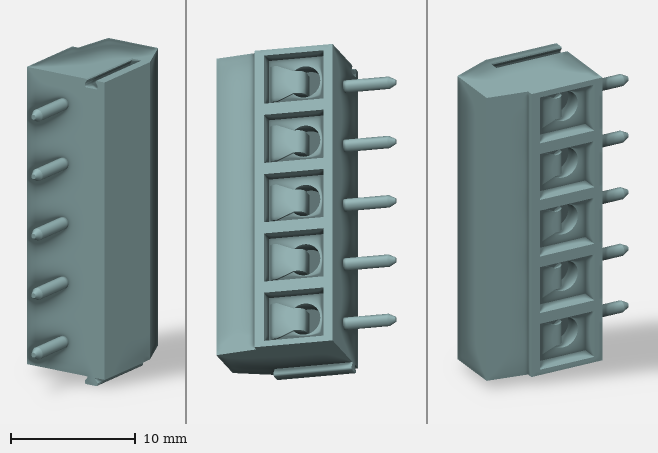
import cadquery as cq
import math


pole_count = 5
width = 7.5
depth = 10.02
height = 25.0
pole_pitch = height / pole_count
shoulder_y = 6.52
ledge = 0.56
crown_left_x = 1.13
crown_right_x = 5.93

pin_x = 3.52
pin_length = 4.3
pin_diameter = 1.0
pin_radius = pin_diameter / 2
pin_tip_radius = 0.2
pin_tip_length = 0.56

overall_height = 25.68
rail_height = overall_height - height
rail_center_x = 6.21
rail_neck_width = 0.75
rail_wide_width = 1.23
rail_neck_height = 0.1
rail_flare_height = 0.4
rail_corner_radius = 0.15
groove_depth = 0.72
groove_neck_width = 0.82
groove_mouth_width = 0.95

opening_y = 0.75
opening_length = 4.98
opening_height = 4.05
opening_depth = 1.46
opening_top_y = opening_y + opening_length

hole_y = 2.75
hole_radius = 1.3
hole_depth = 1.55

leaf_gap = 0.15
leaf_root_radius = 0.55
leaf_root_run = 0.4
leaf_tip_radius = 0.67
leaf_length = 2.8
leaf_root_half_width = 1.5
leaf_tip_half_width = 0.92
leaf_taper_start = 0.56
leaf_taper_end = 1.95


def make_housing():
    """Housing outline in plan, extruded over all the poles."""
    return (
        cq.Workplane("XY")
        .moveTo(0, 0)
        .lineTo(width, 0)
        .lineTo(width, shoulder_y)
        .lineTo(crown_right_x, depth)
        .lineTo(crown_left_x, depth)
        .lineTo(ledge, shoulder_y)
        .lineTo(0, shoulder_y)
        .close()
        .extrude(height)
    )


def make_dovetail(top_z, mouth_width, neck_width, drop):
    """Dovetail bar hanging from top_z, running from the front face to the shoulder."""
    half_outline = [
        (mouth_width / 2, 0),
        (neck_width / 2, -rail_neck_height),
        (rail_wide_width / 2, -rail_flare_height),
        (rail_wide_width / 2, -drop),
    ]
    mirrored = [(-x, z) for x, z in reversed(half_outline)]
    return (
        cq.Workplane("XZ", origin=(rail_center_x, 0, top_z))
        .polyline(half_outline + mirrored)
        .close()
        .extrude(-shoulder_y)
        .edges("|Y and <Z")
        .fillet(rail_corner_radius)
    )


def make_pin(z):
    """Round pin with a conical tip, pointing towards -Y."""
    return (
        cq.Workplane("XY", origin=(pin_x, 0, z))
        .lineTo(pin_radius, 0)
        .lineTo(pin_radius, pin_tip_length - pin_length)
        .lineTo(pin_tip_radius, -pin_length)
        .lineTo(0, -pin_length)
        .close()
        .revolve(360, (0, 0), (0, 1))
    )


def make_opening(z):
    """Rectangular wire opening with the round clamp hole in its floor."""
    window = cq.Workplane("XY").box(
        opening_depth, opening_length, opening_height, centered=(False, False, True)
    )
    hole = cq.Workplane("YZ").center(hole_y, 0).circle(hole_radius).extrude(opening_depth + hole_depth)
    return window.translate((0, opening_y, 0)).union(hole).translate((0, 0, z))


def make_leaf(z):
    """Tapered contact leaf: its bent side profile trimmed by its outline seen from -X."""
    root_y = opening_top_y - leaf_gap
    tip_y = root_y - leaf_length
    rise = leaf_root_radius - math.sqrt(leaf_root_radius**2 - leaf_root_run**2)
    face_x = opening_depth - rise
    back_x = opening_depth + hole_depth
    bent_bar = (
        cq.Workplane("XY")
        .moveTo(back_x, root_y)
        .lineTo(opening_depth, root_y)
        .radiusArc((face_x, root_y - leaf_root_run), -leaf_root_radius)
        .lineTo(face_x, tip_y + leaf_tip_radius)
        .radiusArc((face_x + leaf_tip_radius, tip_y), -leaf_tip_radius)
        .lineTo(back_x, tip_y)
        .close()
        .extrude(leaf_root_half_width, both=True)
    )
    half_outline = [
        (root_y, leaf_root_half_width),
        (root_y - leaf_taper_start, leaf_root_half_width),
        (root_y - leaf_taper_end, leaf_tip_half_width),
        (tip_y, leaf_tip_half_width),
    ]
    mirrored = [(y, -half) for y, half in reversed(half_outline)]
    outline = cq.Workplane("YZ").polyline(half_outline + mirrored).close().extrude(back_x)
    return bent_bar.intersect(outline).translate((0, 0, z))


result = make_housing()
result = result.cut(make_dovetail(height, groove_mouth_width, groove_neck_width, groove_depth))
result = result.union(make_dovetail(0, rail_neck_width, rail_neck_width, rail_height))

for pole in range(pole_count):
    pole_z = (pole + 0.5) * pole_pitch
    result = result.cut(make_opening(pole_z))
    result = result.union(make_leaf(pole_z))
    result = result.union(make_pin(pole_z))